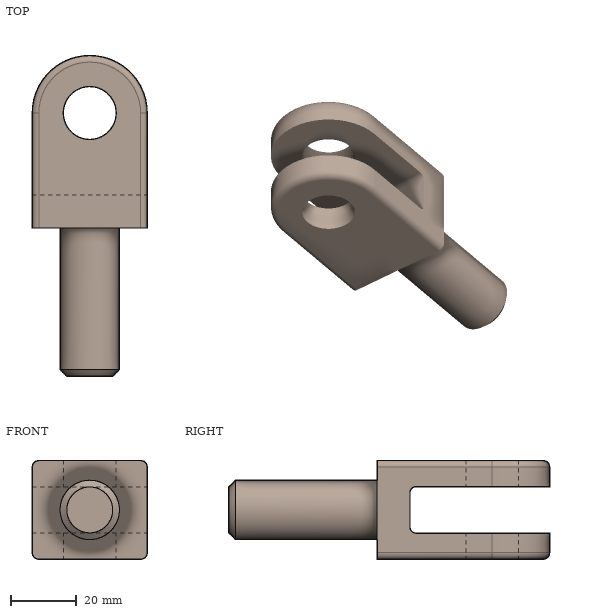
import cadquery as cq

total_length = 97.5
width = 35.0
height = 30.0
shank_length = 45.0
shank_diameter = 18.0
pin_hole_diameter = 16.0
slot_height = 14.0
slot_floor_thickness = 10.0
edge_radius = 2.0
slot_corner_radius = 1.8
shank_chamfer = 2.0

head_length = total_length - shank_length
nose_radius = width / 2
pin_y = head_length - nose_radius
slot_length = head_length - slot_floor_thickness


def make_head():
    """Block with a round nose and softened top and bottom outlines."""
    block = (
        cq.Workplane("XY")
        .workplane(offset=-height / 2)
        .moveTo(-nose_radius, 0)
        .lineTo(nose_radius, 0)
        .lineTo(nose_radius, pin_y)
        .threePointArc((0, head_length), (-nose_radius, pin_y))
        .close()
        .extrude(height)
    )
    outline = block.faces("|Z").edges().edges("not(|X)")
    return outline.fillet(edge_radius)


def make_slot():
    """Cutter that opens the head into two fork arms."""
    return (
        cq.Workplane("XY")
        .box(width, slot_length, slot_height)
        .edges("|X and <Y")
        .fillet(slot_corner_radius)
        .translate((0, slot_floor_thickness + slot_length / 2, 0))
    )


def make_pin_hole():
    """Cutter for the pin hole through both arms."""
    return cq.Workplane("XY").center(0, pin_y).circle(pin_hole_diameter / 2).extrude(height, both=True)


def make_shank():
    """Round shank with a chamfered free end."""
    return (
        cq.Workplane("XZ")
        .circle(shank_diameter / 2)
        .extrude(shank_length)
        .faces("<Y")
        .chamfer(shank_chamfer)
    )


result = make_head().cut(make_slot()).cut(make_pin_hole()).union(make_shank())